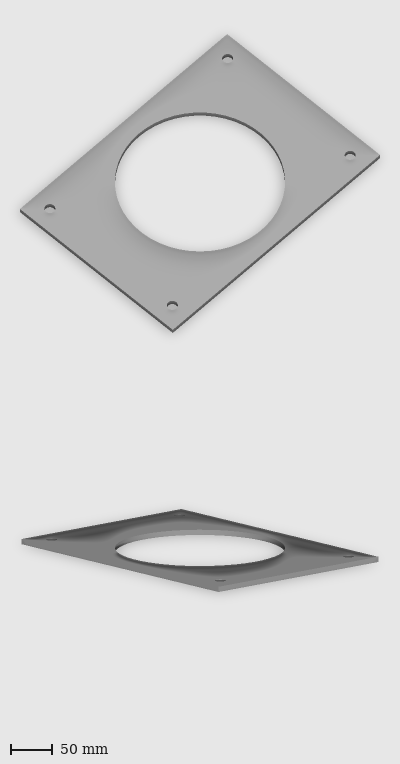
import cadquery as cq

plate_width = 254.0
plate_length = 355.5
plate_thickness = 6.5

opening_diameter = 203.0

edge_inset = 25.2
hole_diameter = 13.0
hole_spacing_x = plate_width - 2 * edge_inset
hole_spacing_y = plate_length - 2 * edge_inset

plate = cq.Workplane("XY").box(plate_width, plate_length, plate_thickness)

plate_with_opening = plate.faces(">Z").workplane().hole(opening_diameter)

result = (
    plate_with_opening.faces(">Z")
    .workplane()
    .rect(hole_spacing_x, hole_spacing_y, forConstruction=True)
    .vertices()
    .hole(hole_diameter)
)